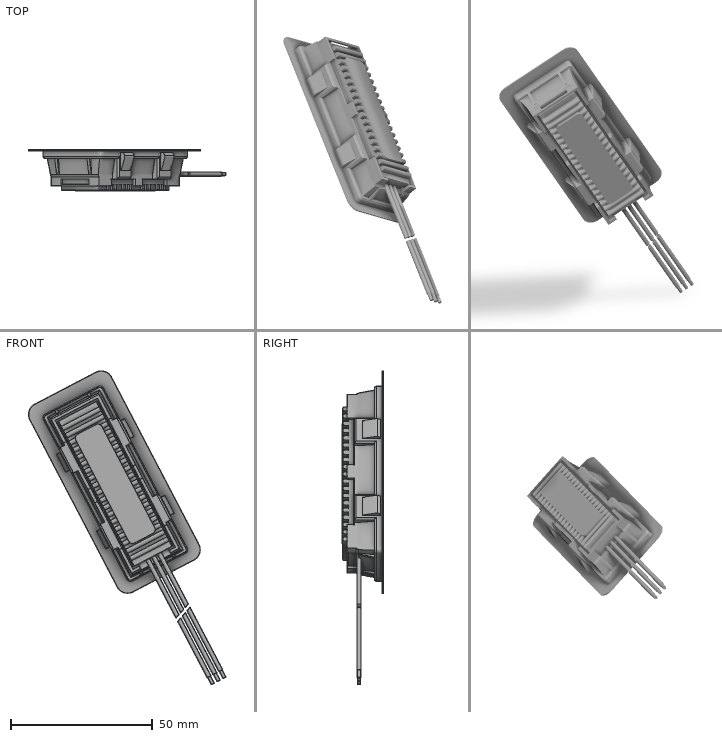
import cadquery as cq
import math

LEAN_ANGLE = 27.6

PLATE_WIDTH = 32.6
PLATE_LENGTH = 75.0
PLATE_THICKNESS = 0.4
PLATE_CORNER_RADIUS = 4.1
PLATE_OFFSET = 0.7

FLANGE_WIDTH = 24.0
FLANGE_LENGTH = 66.6
FLANGE_DEPTH = 3.2
FLANGE_CORNER_RADIUS = 1.3
FLANGE_CHAMFER_DEPTH = 0.8
FLANGE_CHAMFER_INSET = 0.4
SHELL_BASE_WIDTH = 20.9
SHELL_BASE_LENGTH = 63.9
SHELL_END_LENGTH = 62.6
SHELL_DEPTH = 8.8

BOX_WIDTH = 19.1
BOX_LENGTH = 61.5
BOX_BEVEL_DEPTH = 9.7
RIM_DEPTH = 12.9
POCKET_WIDTH = 16.9
POCKET_LENGTH = 59.5
GROOVE_FLOOR_DEPTH = 9.8

SHOULDER_WIDTH = 16.0
SHOULDER_DEPTH = 10.7
SINK_WIDTH = 15.1
SINK_LENGTH = 57.9
SINK_FLOOR_DEPTH = 12.3
FIN_COUNT = 19
FIN_PITCH = 2.9
FIN_WIDTH = 1.7
FIN_TOP_DEPTH = 14.4
PAD_WIDTH = 10.4
PAD_LENGTH = 43.5
PAD_DEPTH = 14.6
PAD_CORNER_RADIUS = 1.7

BLOCK_CENTER = 15.3
BLOCK_LENGTH = 10.2
BLOCK_DEPTH = 10.3
BLOCK_CHAMFER = 0.7
CLIP_LENGTH = 7.1
CLIP_REACH = 1.7
CLIP_START_REACH = 1.1
CLIP_END_REACH = 0.2
CLIP_START_DEPTH = 1.0
CLIP_CREST_START = 2.1
CLIP_CREST_END = 2.8
CLIP_END_DEPTH = 7.4

SIDE_OPENING_START = 2.7
SIDE_OPENING_END = 21.3
END_SLOT_WIDTH = 11.1
END_SLOT_START_DEPTH = 10.4
END_SLOT_END_DEPTH = 12.2
END_NOTCH_WIDTH = 12.0
RIB_SPACING = 12.9
RIB_WIDTH = 1.0
RIB_BASE_HEIGHT = 1.0
RIB_TIP_HEIGHT = 0.3

WIRE_COUNT = 3
WIRE_PITCH = 2.3
WIRE_ROW_SHIFT = 0.1
WIRE_DIAMETER = 1.5
WIRE_DEPTH = 8.7
CORE_DIAMETER = 1.2
JACKET_END = -75.9
CORE_END = -78.8
GAP_CENTER = -51.6
GAP_WIDTH = 1.2
GAP_ANGLE = 21.5

wire_start = -SINK_LENGTH / 2
SIDES = (-1, 1)


def plane_at(depth):
    """Work plane at a depth, facing away from the plate, with X across and Z along the part."""
    return cq.Workplane("XZ").workplane(offset=depth)


def block(width, length, start_depth, end_depth, x=0, z=0):
    """Rectangular block between two depths, centred at (x, z)."""
    return plane_at(start_depth).center(x, z).rect(width, length).extrude(end_depth - start_depth)


def tapered_block(width, length, start_depth, end_width, end_length, end_depth):
    """Block whose rectangular section changes between two depths."""
    return (
        plane_at(start_depth)
        .rect(width, length)
        .workplane(offset=end_depth - start_depth)
        .rect(end_width, end_length)
        .loft(ruled=True)
    )


def cylinder_down(x, diameter, top, bottom):
    """Cylinder at wire depth that runs along the length from top to bottom."""
    start = cq.Vector(x, -WIRE_DEPTH, top)
    solid = cq.Solid.makeCylinder(diameter / 2, top - bottom, start, cq.Vector(0, 0, -1))
    return cq.Workplane(solid)




def make_plate():
    plate = block(PLATE_WIDTH, PLATE_LENGTH, 0, PLATE_THICKNESS, z=PLATE_OFFSET)
    return plate.edges("|Y").fillet(PLATE_CORNER_RADIUS)


def make_flange():
    """Rounded rectangle whose front rim is bevelled more in depth than in width."""
    flange = block(FLANGE_WIDTH, FLANGE_LENGTH, 0, FLANGE_DEPTH).edges("|Y").fillet(FLANGE_CORNER_RADIUS)
    return flange.faces("<Y").edges().chamfer(FLANGE_CHAMFER_DEPTH, FLANGE_CHAMFER_INSET)


def make_shell():
    """Tapered walls, a narrow bevel at each end, then the straight rim."""
    taper = tapered_block(
        SHELL_BASE_WIDTH, SHELL_BASE_LENGTH, FLANGE_DEPTH, BOX_WIDTH, SHELL_END_LENGTH, SHELL_DEPTH
    )
    bevel = tapered_block(
        BOX_WIDTH, SHELL_END_LENGTH, SHELL_DEPTH, BOX_WIDTH, BOX_LENGTH, BOX_BEVEL_DEPTH
    )
    rim = block(BOX_WIDTH, BOX_LENGTH, BOX_BEVEL_DEPTH, RIM_DEPTH)
    return taper.union(bevel).union(rim)


def make_latch_block(z):
    """Block across the whole width, flush with the flange sides and bevelled on its outer edges."""
    latch = block(FLANGE_WIDTH, BLOCK_LENGTH, 0, BLOCK_DEPTH, z=z)
    return latch.faces("<X or >X").edges("|Y or <Y").chamfer(BLOCK_CHAMFER)


def make_clip(side, z):
    """Wedge on the outer face of a latch block."""
    face = FLANGE_WIDTH / 2
    profile = [
        (side * (face - BLOCK_CHAMFER), -CLIP_START_DEPTH),
        (side * (face + CLIP_START_REACH), -CLIP_START_DEPTH),
        (side * (face + CLIP_REACH), -CLIP_CREST_START),
        (side * (face + CLIP_REACH), -CLIP_CREST_END),
        (side * (face + CLIP_END_REACH), -CLIP_END_DEPTH),
        (side * (face - BLOCK_CHAMFER), -CLIP_END_DEPTH),
    ]
    bottom = z - CLIP_LENGTH / 2
    return cq.Workplane("XY").workplane(offset=bottom).polyline(profile).close().extrude(CLIP_LENGTH)


def make_end_rib(x, end):
    """Rib that follows the slope of an end wall."""
    base = SHELL_BASE_LENGTH / 2
    tip = SHELL_END_LENGTH / 2
    root = BOX_LENGTH / 2
    profile = [
        (-FLANGE_DEPTH, end * root),
        (-FLANGE_DEPTH, end * (base + RIB_BASE_HEIGHT)),
        (-SHELL_DEPTH, end * (tip + RIB_TIP_HEIGHT)),
        (-SHELL_DEPTH, end * root),
    ]
    start = x - RIB_WIDTH / 2
    return cq.Workplane("YZ").workplane(offset=start).polyline(profile).close().extrude(RIB_WIDTH)


def make_rim_openings():
    """Pocket for the heat sink, two openings per side, a slot at the top end, a wide bottom notch."""
    cuts = block(POCKET_WIDTH, POCKET_LENGTH, GROOVE_FLOOR_DEPTH, RIM_DEPTH)
    opening_length = SIDE_OPENING_END - SIDE_OPENING_START
    opening_center = (SIDE_OPENING_START + SIDE_OPENING_END) / 2
    for end in SIDES:
        cuts = cuts.union(block(BOX_WIDTH, opening_length, BLOCK_DEPTH, RIM_DEPTH, z=end * opening_center))
    wall = (BOX_LENGTH - SINK_LENGTH) / 2
    wall_center = (BOX_LENGTH + SINK_LENGTH) / 4
    slot = block(END_SLOT_WIDTH, wall, END_SLOT_START_DEPTH, END_SLOT_END_DEPTH, z=wall_center)
    notch_length = (SHELL_END_LENGTH - SINK_LENGTH) / 2
    notch = block(END_NOTCH_WIDTH, notch_length, WIRE_DEPTH, RIM_DEPTH, z=wire_start - notch_length / 2)
    return cuts.union(slot).union(notch)


def make_fin(z):
    """Fin across the heat sink with a fully rounded tip."""
    radius = FIN_WIDTH / 2
    shoulder = -(FIN_TOP_DEPTH - radius)
    return (
        cq.Workplane("YZ")
        .workplane(offset=-SINK_WIDTH / 2)
        .moveTo(-SINK_FLOOR_DEPTH, z - radius)
        .lineTo(shoulder, z - radius)
        .threePointArc((-FIN_TOP_DEPTH, z), (shoulder, z + radius))
        .lineTo(-SINK_FLOOR_DEPTH, z + radius)
        .close()
        .extrude(SINK_WIDTH)
    )


def make_heat_sink():
    sink = block(SHOULDER_WIDTH, SINK_LENGTH, SHELL_DEPTH, SHOULDER_DEPTH)
    sink = sink.union(block(SINK_WIDTH, SINK_LENGTH, SHELL_DEPTH, SINK_FLOOR_DEPTH))
    for i in range(FIN_COUNT):
        sink = sink.union(make_fin((i - (FIN_COUNT - 1) / 2) * FIN_PITCH))
    pad = block(PAD_WIDTH, PAD_LENGTH, SINK_FLOOR_DEPTH, PAD_DEPTH)
    return sink.union(pad.edges("|Y").fillet(PAD_CORNER_RADIUS))


def make_housing():
    housing = make_plate().union(make_flange()).union(make_shell())
    for end in SIDES:
        housing = housing.union(make_latch_block(end * BLOCK_CENTER))
        for side in SIDES:
            housing = housing.union(make_clip(side, end * BLOCK_CENTER))
            housing = housing.union(make_end_rib(side * RIB_SPACING / 2, end))
    housing = housing.cut(make_rim_openings()).union(make_heat_sink())
    for x in wire_positions:
        housing = housing.cut(cylinder_down(x, WIRE_DIAMETER, wire_start, JACKET_END))
    return housing



wire_positions = [
    WIRE_ROW_SHIFT + (i - (WIRE_COUNT - 1) / 2) * WIRE_PITCH for i in range(WIRE_COUNT)
]


def gap_edge(x, side):
    """Height at which an edge of the slanted gap crosses a wire axis."""
    half_gap = GAP_WIDTH / 2 / math.cos(math.radians(GAP_ANGLE))
    return GAP_CENTER + x * math.tan(math.radians(GAP_ANGLE)) + side * half_gap


def trim_block(x, side):
    """Slanted block that removes all of a wire beyond one edge of the gap."""
    size = 4 * WIRE_DIAMETER
    trim = cq.Workplane("XY").box(size, size, size).translate((0, 0, -side * size / 2))
    trim = trim.rotate((0, 0, 0), (0, 1, 0), -GAP_ANGLE)
    return trim.translate((x, -WIRE_DEPTH, gap_edge(x, side)))


def make_upper_wire(x):
    """Length of wire between the housing and the gap."""
    overrun = gap_edge(x, 1) - WIRE_DIAMETER
    return cylinder_down(x, WIRE_DIAMETER, wire_start, overrun).cut(trim_block(x, 1))


def make_lower_wire(x):
    """Length of wire beyond the gap, with its core bared at the tip."""
    overrun = gap_edge(x, -1) + WIRE_DIAMETER
    jacket = cylinder_down(x, WIRE_DIAMETER, overrun, JACKET_END).cut(trim_block(x, -1))
    return jacket.union(cylinder_down(x, CORE_DIAMETER, JACKET_END, CORE_END))



housing = make_housing()
upper_wires = [make_upper_wire(x) for x in wire_positions]
lower_wires = [make_lower_wire(x) for x in wire_positions]

bodies = [housing] + upper_wires + lower_wires
leaning_bodies = [body.rotate((0, 0, 0), (0, 1, 0), -LEAN_ANGLE).val() for body in bodies]

result = cq.Compound.makeCompound(leaning_bodies)